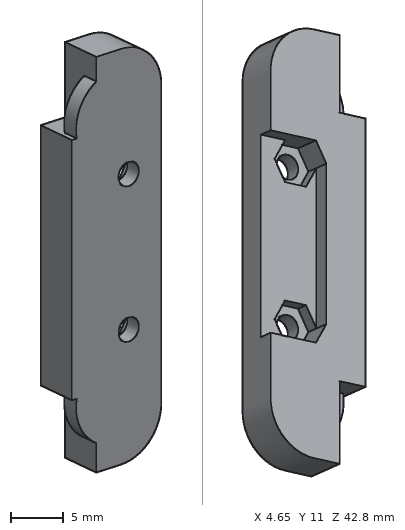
import cadquery as cq
import math

thickness = 4.65
depth = 11.0
height = 42.75

end_step_depth = 3.0
top_step_height = 7.75
bottom_step_height = 8.25
corner_radius = 5.0

tongue_thickness = 1.8
tongue_setback = 0.5
tongue_radius = 5.0
tongue_beyond = 0.9

hole_diameter = 2.5
hole_spacing = 16.0
hole_from_back = 4.0
nut_across_flats = 4.2
nut_across_corners = nut_across_flats / math.cos(math.pi / 6)
pocket_depth = 1.62
nut_depth = 1.33

lower_ledge = bottom_step_height
upper_ledge = height - top_step_height
hole_y = depth - hole_from_back
hole_middle_z = (lower_ledge + upper_ledge) / 2
lower_hole_z = hole_middle_z - hole_spacing / 2
upper_hole_z = hole_middle_z + hole_spacing / 2
hole_points = [(hole_y, lower_hole_z), (hole_y, upper_hole_z)]


def plate():
    """Stepped plate with both back corners rounded."""
    outline = (
        cq.Workplane("YZ")
        .moveTo(0, lower_ledge)
        .lineTo(end_step_depth, lower_ledge)
        .lineTo(end_step_depth, 0)
        .lineTo(depth, 0)
        .lineTo(depth, height)
        .lineTo(end_step_depth, height)
        .lineTo(end_step_depth, upper_ledge)
        .lineTo(0, upper_ledge)
        .close()
    )
    return outline.extrude(thickness).edges("|X and >Y").fillet(corner_radius)


def tongues():
    """Discs whose front edges stand out of the end steps."""
    center_y = tongue_setback + tongue_radius
    centers = [
        (center_y, lower_ledge - tongue_beyond),
        (center_y, upper_ledge + tongue_beyond),
    ]
    return (
        cq.Workplane("YZ", origin=(thickness - tongue_thickness, 0, 0))
        .pushPoints(centers)
        .circle(tongue_radius)
        .extrude(tongue_thickness)
    )


def pocket():
    """Recess open to the back, following the outer sides of the nut hexagons."""
    flat = nut_across_flats / 2
    corner = nut_across_corners / 2
    return (
        cq.Workplane("YZ")
        .moveTo(depth, lower_hole_z - flat)
        .lineTo(hole_y - corner / 2, lower_hole_z - flat)
        .lineTo(hole_y - corner, lower_hole_z)
        .lineTo(hole_y - corner, upper_hole_z)
        .lineTo(hole_y - corner / 2, upper_hole_z + flat)
        .lineTo(depth, upper_hole_z + flat)
        .close()
        .extrude(pocket_depth)
    )


def nut_recesses():
    return (
        cq.Workplane("YZ")
        .pushPoints(hole_points)
        .polygon(6, nut_across_corners)
        .extrude(pocket_depth + nut_depth)
    )


def screw_holes():
    return (
        cq.Workplane("YZ")
        .pushPoints(hole_points)
        .circle(hole_diameter / 2)
        .extrude(thickness)
    )


body = plate().union(tongues())
result = body.cut(pocket()).cut(nut_recesses()).cut(screw_holes())